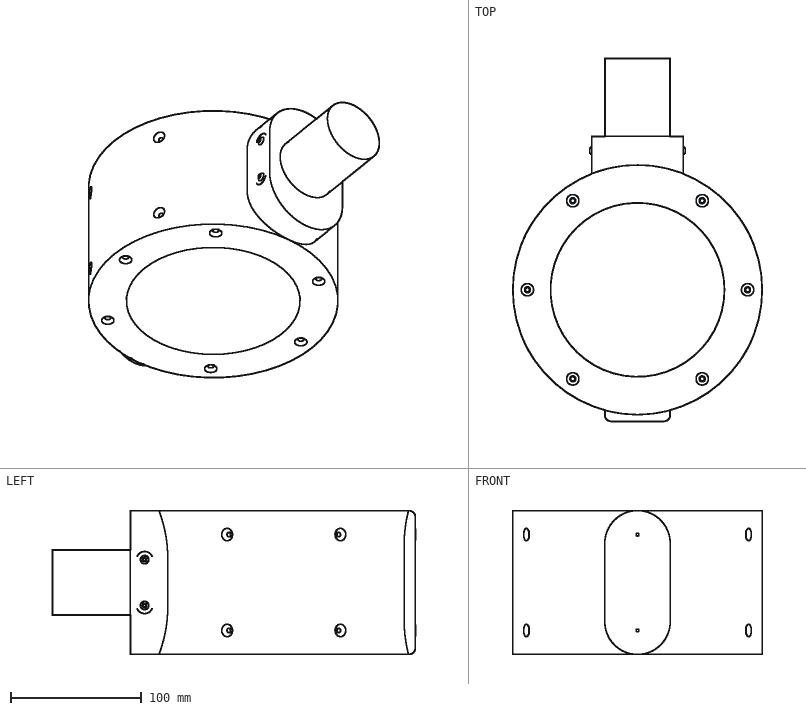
import cadquery as cq
import math

OVERALL_LENGTH = 278

RING_DIAMETER = 191.0
BORE_DIAMETER = 133.0
HEIGHT = 110.0
RING_RADIUS = RING_DIAMETER / 2

COLLAR_WIDTH = 70.0
COLLAR_END = 117.3
PIPE_DIAMETER = 50
PIPE_END = 177.0

PAD_WIDTH = 50
PAD_EDGE_RADIUS = 5.0
PAD_RISE = 5.3
PAD_FACE = RING_RADIUS + PAD_RISE

SOCKET_DIAMETER = 2.2
PAD_SCREW_BASE = 8.5
PAD_SCREW_TIP = 7.5
PAD_SCREW_RISE = OVERALL_LENGTH - PIPE_END - PAD_FACE
PAD_SCREW_SOCKET_DEPTH = 2.8
COLLAR_SCREW_BASE = 6.5
COLLAR_SCREW_TIP = 3.3
COLLAR_SCREW_RISE = 1.7
COLLAR_SCREW_SOCKET_DEPTH = COLLAR_SCREW_RISE
COLLAR_SCREW_Y = 106.5
COLLAR_SCREW_Z = 17.5
COLLAR_SPOT_DIAMETER = 12.5

SINK_DIAMETER = 9.5
DRILL_DIAMETER = 3.3
DRILL_DEPTH = 8.3
END_NECK_DIAMETER = 4.5
END_SINK_DEPTH = (SINK_DIAMETER - END_NECK_DIAMETER) / 2
END_NECK_DEPTH = 5.5
SIDE_SINK_DEPTH = (SINK_DIAMETER - DRILL_DIAMETER) / 2
END_CIRCLE_RADIUS = 84.2
CUT_CLEARANCE = 0.5
SIDE_ANGLE = 27
END_ANGLE = 2 * SIDE_ANGLE
SCREW_LEVEL = 36.7


def turned(profile, point, direction):
    """Turn (radius, height) pairs around an axis that leaves `point` along `direction`."""
    plane = cq.Plane(origin=point, normal=direction)
    half_section = cq.Workplane("XZ").polyline(profile).close()
    body = half_section.revolve(360, (0, 0, 0), (0, 1, 0)).val()
    return cq.Workplane(obj=body.moved(cq.Location(plane)))


def upright_slot(width, start, end):
    """A full-height block along Y with semicircular top and bottom."""
    sketch = cq.Workplane("XZ", origin=(0, start, 0)).slot2D(HEIGHT, width, 90)
    return sketch.extrude(start - end)


def add_screw(body, point, direction, base, tip, rise, socket_depth):
    """Raise a conical screw head at `point` and sink its socket."""
    head_profile = [(0, 0), (base / 2, 0), (tip / 2, rise), (0, rise)]
    head = turned(head_profile, point, direction)
    floor = rise - socket_depth
    socket_radius = SOCKET_DIAMETER / 2
    socket_profile = [(0, floor), (socket_radius, floor), (socket_radius, rise), (0, rise)]
    socket = turned(socket_profile, point, direction)
    return body.union(head).cut(socket)


body = cq.Workplane("XY").circle(RING_RADIUS).extrude(HEIGHT / 2, both=True)
body = body.union(upright_slot(COLLAR_WIDTH, 0, COLLAR_END))
pipe = cq.Workplane("XZ").circle(PIPE_DIAMETER / 2).extrude(-PIPE_END)
pad = upright_slot(PAD_WIDTH, 0, -PAD_FACE).faces("<Y").edges().fillet(PAD_EDGE_RADIUS)
body = body.union(pipe).union(pad)

for side in (-1, 1):
    for level in (-COLLAR_SCREW_Z, COLLAR_SCREW_Z):
        spot = cq.Workplane("YZ").center(COLLAR_SCREW_Y, level).circle(COLLAR_SPOT_DIAMETER / 2)
        body = body.union(spot.extrude(side * COLLAR_WIDTH / 2))

bore = cq.Workplane("XY").circle(BORE_DIAMETER / 2).extrude(HEIGHT, both=True)
body = body.cut(bore)

for side in (-1, 1):
    for level in (-COLLAR_SCREW_Z, COLLAR_SCREW_Z):
        body = add_screw(
            body,
            (side * COLLAR_WIDTH / 2, COLLAR_SCREW_Y, level),
            (side, 0, 0),
            COLLAR_SCREW_BASE,
            COLLAR_SCREW_TIP,
            COLLAR_SCREW_RISE,
            COLLAR_SCREW_SOCKET_DEPTH,
        )

for level in (-SCREW_LEVEL, SCREW_LEVEL):
    body = add_screw(
        body,
        (0, -PAD_FACE, level),
        (0, -1, 0),
        PAD_SCREW_BASE,
        PAD_SCREW_TIP,
        PAD_SCREW_RISE,
        PAD_SCREW_SOCKET_DEPTH,
    )

end_hole = [
    (0, 0),
    (SINK_DIAMETER / 2, 0),
    (END_NECK_DIAMETER / 2, -END_SINK_DEPTH),
    (END_NECK_DIAMETER / 2, -END_NECK_DEPTH),
    (DRILL_DIAMETER / 2, -END_NECK_DEPTH),
    (DRILL_DIAMETER / 2, -DRILL_DEPTH),
    (0, -DRILL_DEPTH),
]
for half_turn in (0, 180):
    for offset in (-END_ANGLE, 0, END_ANGLE):
        angle = math.radians(half_turn + offset)
        x = END_CIRCLE_RADIUS * math.cos(angle)
        y = END_CIRCLE_RADIUS * math.sin(angle)
        for end in (-1, 1):
            body = body.cut(turned(end_hole, (x, y, end * HEIGHT / 2), (0, 0, end)))

side_hole = [
    (0, CUT_CLEARANCE),
    (SINK_DIAMETER / 2 + CUT_CLEARANCE, CUT_CLEARANCE),
    (DRILL_DIAMETER / 2, -SIDE_SINK_DEPTH),
    (DRILL_DIAMETER / 2, -DRILL_DEPTH),
    (0, -DRILL_DEPTH),
]
for half_turn in (0, 180):
    for offset in (-SIDE_ANGLE, SIDE_ANGLE):
        angle = math.radians(half_turn + offset)
        outward = (math.cos(angle), math.sin(angle), 0)
        for level in (-SCREW_LEVEL, SCREW_LEVEL):
            mouth = (RING_RADIUS * outward[0], RING_RADIUS * outward[1], level)
            body = body.cut(turned(side_hole, mouth, outward))

result = body